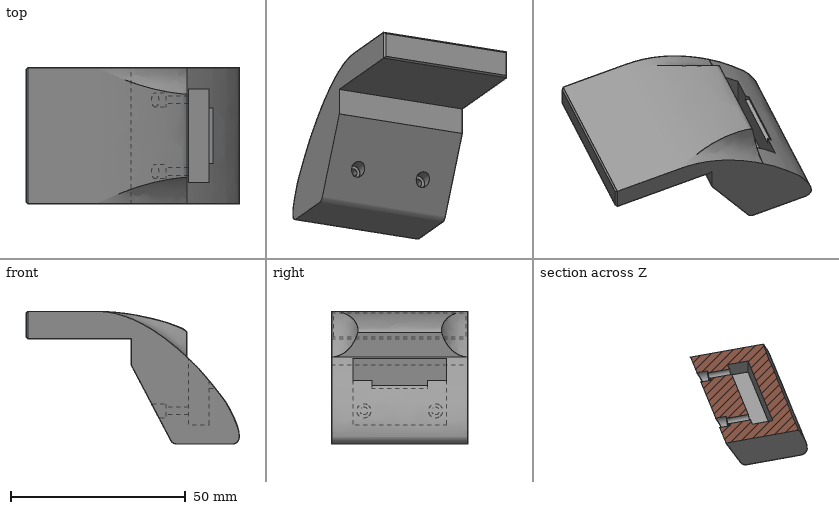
import cadquery as cq

LENGTH = 61.0
WIDTH = 39.0
HEIGHT = 38.0

PLATE_THICKNESS = 7.9
PLATE_FLAT_END = 20.0
PLATE_CHAMFER = 0.5
BLOCK_X = 30.0
BLOCK_CORNER_Z = 22.7
FOOT_X = 41.9
FOOT_RADIUS = 2.0

NOSE_END_X = 53.5
NOSE_POINTS = [(28.85, 36.4), (40.3, 29.85), (47.35, 23.7), (NOSE_END_X, 16.8)]
NOSE_END_DIRECTION = (0.62, -0.78)
TOE_POINTS = [(58.15, 10.4), (60.3, 5.7)]

HOOD_END_X = 46.0
HOOD_POINTS = [(35.4, 36.1), (43.7, 33.55), (HOOD_END_X, 32.0)]
HOOD_END_DIRECTION = (0.5, -0.87)
SCOOP_RADIUS = 8.0

POCKET_START_X = 46.45
POCKET_LENGTH = 5.9
POCKET_WIDTH = 26.7
POCKET_FLOOR_Z = 5.5
NOTCH_WIDTH = 15.9
NOTCH_FLOOR_Z = 15.85

SCREW_SPACING = 20.5
SCREW_Z = 9.5
SCREW_DIAMETER = 2.2
HEAD_DIAMETER = 4.0
HEAD_SEAT_X = 40.05


def nose_curve(start):
    """Add the falling top curve, from the end of the flat to the rounded toe."""
    nose = start.spline(NOSE_POINTS, tangents=[(1, 0), NOSE_END_DIRECTION], includeCurrent=True)
    return nose.spline(
        TOE_POINTS + [(LENGTH, FOOT_RADIUS)],
        tangents=[NOSE_END_DIRECTION, (0, -1)],
        includeCurrent=True,
    )


def side_plane():
    """XZ plane on the +Y side; extruding from it runs toward -Y."""
    return cq.Workplane("XZ", origin=(0, WIDTH / 2, 0))


def make_body():
    """Plate, block and curved nose as one outline across the full width."""
    plate_bottom = HEIGHT - PLATE_THICKNESS
    outline = side_plane().moveTo(0, HEIGHT).lineTo(PLATE_FLAT_END, HEIGHT)
    outline = (
        nose_curve(outline)
        .radiusArc((LENGTH - FOOT_RADIUS, 0), FOOT_RADIUS)
        .lineTo(FOOT_X, 0)
        .lineTo(BLOCK_X, BLOCK_CORNER_Z)
        .lineTo(BLOCK_X, plate_bottom)
        .lineTo(0, plate_bottom)
        .close()
    )
    body = outline.extrude(WIDTH)
    heel = cq.selectors.NearestToPointSelector((FOOT_X, 0, 0))
    body = body.edges("|Y").edges(heel).fillet(FOOT_RADIUS)
    return body.faces("<X").edges().chamfer(PLATE_CHAMFER)


def make_hood():
    """Raised hood whose lower side stays buried in the body."""
    hood = (
        side_plane()
        .moveTo(PLATE_FLAT_END, HEIGHT)
        .spline(HOOD_POINTS, tangents=[(1, 0), HOOD_END_DIRECTION], includeCurrent=True)
        .lineTo(HOOD_END_X, BLOCK_CORNER_Z)
        .close()
        .extrude(WIDTH)
    )
    for side in (-1, 1):
        hood = hood.cut(make_scoop(side * WIDTH / 2))
    return hood


def make_scoop(side_y):
    """Round bar that rolls along the nose curve at one side of the part."""
    path = nose_curve(cq.Workplane("XZ").moveTo(PLATE_FLAT_END, HEIGHT))
    section_center = (PLATE_FLAT_END, side_y, HEIGHT + SCOOP_RADIUS)
    section = cq.Workplane("YZ", origin=section_center).circle(SCOOP_RADIUS)
    return section.sweep(path)


def open_top_cut(start_x, length, width, floor_z):
    """Rectangular cut that is open upward, centred across the width."""
    corner = cq.Workplane("XY", origin=(start_x, 0, floor_z))
    return corner.box(length, width, HEIGHT - floor_z, centered=(False, True, False))


def make_screw_hole(y):
    """Counterbored hole along X that ends inside the pocket."""
    start = cq.Workplane("YZ", origin=(BLOCK_X, y, SCREW_Z))
    shank_length = POCKET_START_X + POCKET_LENGTH / 2 - BLOCK_X
    shank = start.circle(SCREW_DIAMETER / 2).extrude(shank_length)
    head = start.circle(HEAD_DIAMETER / 2).extrude(HEAD_SEAT_X - BLOCK_X)
    return shank.union(head)


result = make_body().union(make_hood())
result = result.cut(open_top_cut(POCKET_START_X, POCKET_LENGTH, POCKET_WIDTH, POCKET_FLOOR_Z))
notch_start_x = POCKET_START_X + POCKET_LENGTH
result = result.cut(open_top_cut(notch_start_x, NOSE_END_X - notch_start_x, NOTCH_WIDTH, NOTCH_FLOOR_Z))
for screw_y in (-SCREW_SPACING / 2, SCREW_SPACING / 2):
    result = result.cut(make_screw_hole(screw_y))